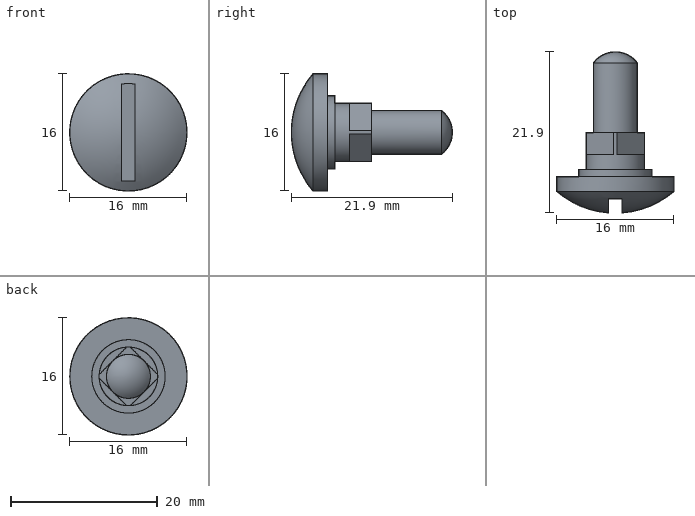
import cadquery as cq
import math

total_length = 21.95

head_diameter = 16.0
rim_thickness = 2.0
slot_width = 1.8
slot_floor_height = 1.0

collar_diameter = 10.0
collar_length = 1.0
neck_diameter = 8.0
neck_length = 2.0
square_side = 6.0
square_length = 3.0

shank_diameter = square_side
shank_length = 9.5
tip_height = 1.5

dome_base_y = -rim_thickness
neck_start_y = collar_length
square_start_y = neck_start_y + neck_length
square_end_y = square_start_y + square_length
shank_end_y = square_end_y + shank_length
tip_y = shank_end_y + tip_height

head_radius = head_diameter / 2
slot_edge_x = slot_width / 2
slot_edge_height = total_length - tip_y - rim_thickness
dome_center_height = (slot_edge_x**2 + slot_edge_height**2 - head_radius**2) / (2 * slot_edge_height)
dome_radius = math.hypot(head_radius, dome_center_height)
dome_height = dome_center_height + dome_radius


def cylinder(diameter, start_y, length):
    """Cylinder on the Y axis, running from start_y toward +Y."""
    return cq.Workplane("XZ", origin=(0, start_y, 0)).circle(diameter / 2).extrude(-length)


def spherical_cap(base_radius, base_y, height, direction):
    """Spherical cap on the Y axis, rising from base_y toward direction (+1 or -1)."""
    sphere_radius = (base_radius**2 + height**2) / (2 * height)
    half_angle = math.asin(base_radius / sphere_radius) / 2
    middle_x = sphere_radius * math.sin(half_angle)
    middle_height = height - sphere_radius * (1 - math.cos(half_angle))
    return (
        cq.Workplane("XY")
        .moveTo(0, base_y)
        .lineTo(base_radius, base_y)
        .threePointArc((middle_x, base_y + direction * middle_height), (0, base_y + direction * height))
        .close()
        .revolve(360, (0, 0, 0), (0, 1, 0))
    )


def rounded_square():
    """Square standing on a corner, with its corners trimmed to the neck diameter."""
    square = (
        cq.Workplane("XZ", origin=(0, square_start_y, 0))
        .transformed(rotate=(0, 0, 45))
        .rect(square_side, square_side)
        .extrude(-square_length)
    )
    return square.intersect(cylinder(neck_diameter, square_start_y, square_length))


def driver_slot():
    """Straight slot running along Z through the whole dome."""
    slot_depth = dome_height - slot_floor_height
    return cq.Workplane("XY").box(slot_width, slot_depth, head_diameter).translate(
        (0, dome_base_y - slot_floor_height - slot_depth / 2, 0)
    )


head = cylinder(head_diameter, dome_base_y, rim_thickness)
head = head.union(spherical_cap(head_radius, dome_base_y, dome_height, -1))
head = head.cut(driver_slot())

shank = cylinder(shank_diameter, square_end_y, shank_length)
shank = shank.union(spherical_cap(shank_diameter / 2, shank_end_y, tip_height, 1))

result = (
    head.union(cylinder(collar_diameter, 0, collar_length))
    .union(cylinder(neck_diameter, neck_start_y, neck_length))
    .union(rounded_square())
    .union(shank)
)